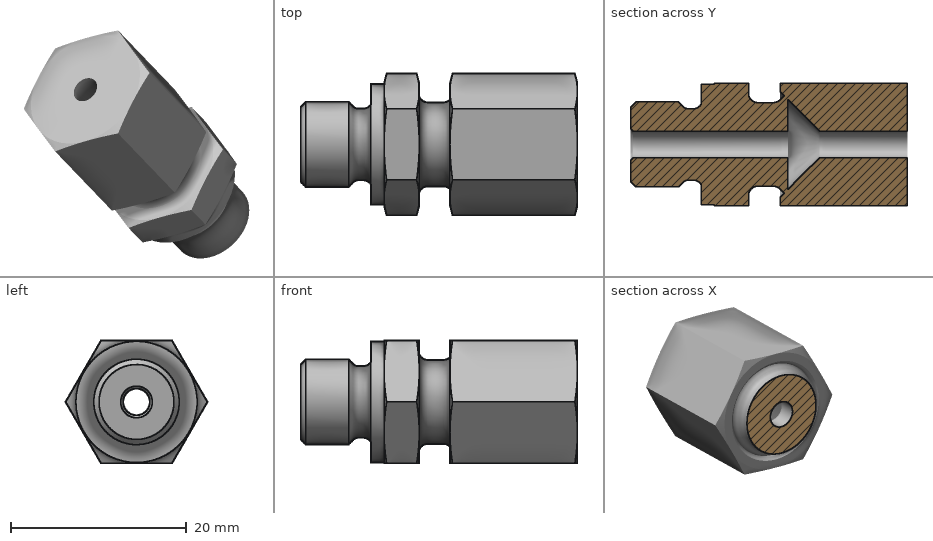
import cadquery as cq
import math


STUD_TIP = 0.0
COLLAR_START = 8.0
HEX_START = 9.5
HEX_END = 13.5
NUT_START = 17.0
NUT_END = 31.5

THREAD_DIAMETER = 9.73
TIP_CHAMFER = 0.6

UNDERCUT_DIAMETER = 8.2
UNDERCUT_FLAT_START = 6.55
UNDERCUT_FLAT_END = 7.15
UNDERCUT_THREAD_RADIUS = 0.8
UNDERCUT_COLLAR_RADIUS = 1.0

COLLAR_DIAMETER = 13.8
ACROSS_FLATS = 14.0
HEX_CHAMFER_ANGLE = math.radians(15)

NECK_DIAMETER = 9.6
NECK_START = 14.45
NECK_END = 16.28
NECK_RADIUS = 1.0

MOUTH_DIAMETER = 12.0

SLOPE_ANGLE = math.radians(45)

BORE_DIAMETER = 3.0
BORE_CHAMFER = 0.3


def revolve_about_x(profile):
    """Turn a closed (X, radius) profile fully around the X axis."""
    return profile.close().revolve(360, (0, 0, 0), (1, 0, 0))


def fillet_point(arc_start, floor_radius, fillet_radius, angle):
    """Point on a groove fillet after turning by angle; a negative angle runs towards -X."""
    x = arc_start + fillet_radius * math.sin(angle)
    return (x, floor_radius + fillet_radius * (1 - math.cos(angle)))


def sweep_to_wall(length, fillet_radius):
    """Angle a fillet turns through before it meets a wall at the given axial length."""
    return math.asin(length / fillet_radius)


def make_stud():
    """Chamfered thread, undercut with rounded corners, and sealing collar."""
    thread_radius = THREAD_DIAMETER / 2
    floor_radius = UNDERCUT_DIAMETER / 2
    collar_radius = COLLAR_DIAMETER / 2
    collar_sweep = sweep_to_wall(COLLAR_START - UNDERCUT_FLAT_END, UNDERCUT_COLLAR_RADIUS)

    def thread_side(angle):
        return fillet_point(UNDERCUT_FLAT_START, floor_radius, UNDERCUT_THREAD_RADIUS, -angle)

    def collar_side(angle):
        return fillet_point(UNDERCUT_FLAT_END, floor_radius, UNDERCUT_COLLAR_RADIUS, angle)

    slope_end_x, slope_end_radius = thread_side(SLOPE_ANGLE)
    slope_length = (thread_radius - slope_end_radius) / math.tan(SLOPE_ANGLE)

    return revolve_about_x(
        cq.Workplane("XY")
        .moveTo(STUD_TIP, 0)
        .lineTo(STUD_TIP, thread_radius - TIP_CHAMFER)
        .lineTo(STUD_TIP + TIP_CHAMFER, thread_radius)
        .lineTo(slope_end_x - slope_length, thread_radius)
        .lineTo(slope_end_x, slope_end_radius)
        .threePointArc(thread_side(SLOPE_ANGLE / 2), (UNDERCUT_FLAT_START, floor_radius))
        .lineTo(UNDERCUT_FLAT_END, floor_radius)
        .threePointArc(collar_side(collar_sweep / 2), collar_side(collar_sweep))
        .lineTo(COLLAR_START, collar_radius)
        .lineTo(HEX_START, collar_radius)
        .lineTo(HEX_START, 0)
    )


def make_hexagon(start, end):
    """Hexagon with flats facing +Z and -Z and conical chamfers at both ends."""
    flat_radius = ACROSS_FLATS / 2
    corner_radius = flat_radius / math.cos(math.pi / 6)
    chamfer_length = (corner_radius - flat_radius) * math.tan(HEX_CHAMFER_ANGLE)

    prism = cq.Workplane("YZ").workplane(offset=start).polygon(6, 2 * corner_radius).extrude(end - start)
    envelope = revolve_about_x(
        cq.Workplane("XY")
        .moveTo(start, 0)
        .lineTo(start, flat_radius)
        .lineTo(start + chamfer_length, corner_radius)
        .lineTo(end - chamfer_length, corner_radius)
        .lineTo(end, flat_radius)
        .lineTo(end, 0)
    )
    return prism.intersect(envelope)


def make_neck():
    """Neck flaring into the body hexagon and, along a cone, into the nut."""
    neck_radius = NECK_DIAMETER / 2
    mouth_radius = MOUTH_DIAMETER / 2
    hex_sweep = sweep_to_wall(NECK_START - HEX_END, NECK_RADIUS)

    def hex_side(angle):
        return fillet_point(NECK_START, neck_radius, NECK_RADIUS, -angle)

    def nut_side(angle):
        return fillet_point(NECK_END, neck_radius, NECK_RADIUS, angle)

    cone_start_x, cone_start_radius = nut_side(SLOPE_ANGLE)
    cone_end_x = cone_start_x + (mouth_radius - cone_start_radius) / math.tan(SLOPE_ANGLE)

    return revolve_about_x(
        cq.Workplane("XY")
        .moveTo(HEX_END, 0)
        .lineTo(*hex_side(hex_sweep))
        .threePointArc(hex_side(hex_sweep / 2), (NECK_START, neck_radius))
        .lineTo(NECK_END, neck_radius)
        .threePointArc(nut_side(SLOPE_ANGLE / 2), (cone_start_x, cone_start_radius))
        .lineTo(cone_end_x, mouth_radius)
        .lineTo(cone_end_x, 0)
    )


def make_nut():
    """Long hexagon with a conical countersink around the neck."""
    mouth_radius = MOUTH_DIAMETER / 2
    countersink = revolve_about_x(
        cq.Workplane("XY")
        .moveTo(NUT_START, 0)
        .lineTo(NUT_START, mouth_radius)
        .lineTo(NUT_START + mouth_radius / math.tan(SLOPE_ANGLE), 0)
    )
    return make_hexagon(NUT_START, NUT_END).cut(countersink)


def make_bore():
    """Through bore with a chamfered mouth at the stud tip."""
    bore_radius = BORE_DIAMETER / 2
    return revolve_about_x(
        cq.Workplane("XY")
        .moveTo(STUD_TIP, 0)
        .lineTo(STUD_TIP, bore_radius + BORE_CHAMFER)
        .lineTo(STUD_TIP + BORE_CHAMFER, bore_radius)
        .lineTo(NUT_END, bore_radius)
        .lineTo(NUT_END, 0)
    )


body = make_stud().union(make_hexagon(HEX_START, HEX_END))
nut = make_nut().union(make_neck())
result = body.union(nut).cut(make_bore())